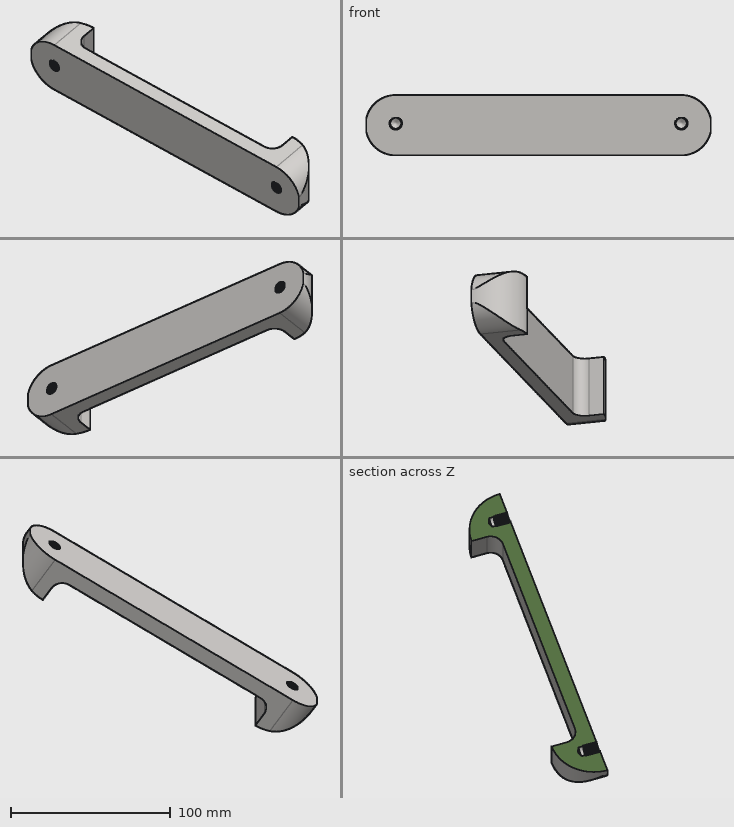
import cadquery as cq
import math

LENGTH = 216.0
HEIGHT = 38.0
FOOT_DEPTH = 28.0
BAR_THICKNESS = 10.0
INNER_FILLET = 8.0

END_RADIUS = HEIGHT / 2
END_CENTRE_X = 89.5
FOOT_INNER_X = LENGTH / 2 - FOOT_DEPTH

HOLE_DIAMETER = 6.83
HOLE_DEPTH = 12.0
HOLE_OFFSET_Z = 1.2
DRILL_POINT_ANGLE = 118.0

THREAD_MAJOR_DIAMETER = 8.0
THREAD_PITCH = 1.25
THREAD_ROOT_FLAT = THREAD_PITCH / 8
THREAD_ANGLE = 60.0
THREAD_DEPTH = 10.0
GROOVE_OVERLAP = 0.3


def bow_profile():
    """Plan shape of the handle, extruded over its height and centred on Z."""
    half_length = LENGTH / 2
    arc_offset = FOOT_DEPTH * math.sqrt(0.5)
    return (
        cq.Workplane("XY")
        .moveTo(-half_length, 0)
        .lineTo(half_length, 0)
        .threePointArc((FOOT_INNER_X + arc_offset, arc_offset), (FOOT_INNER_X, FOOT_DEPTH))
        .lineTo(FOOT_INNER_X, BAR_THICKNESS + INNER_FILLET)
        .radiusArc((FOOT_INNER_X - INNER_FILLET, BAR_THICKNESS), INNER_FILLET)
        .lineTo(-FOOT_INNER_X + INNER_FILLET, BAR_THICKNESS)
        .radiusArc((-FOOT_INNER_X, BAR_THICKNESS + INNER_FILLET), INNER_FILLET)
        .lineTo(-FOOT_INNER_X, FOOT_DEPTH)
        .threePointArc((-FOOT_INNER_X - arc_offset, arc_offset), (-half_length, 0))
        .close()
        .extrude(HEIGHT / 2, both=True)
    )


def rounded_outline():
    """Full-round slot that trims the ends of the handle in the XZ plane."""
    slot_length = 2 * (END_CENTRE_X + END_RADIUS)
    return cq.Workplane("XZ").slot2D(slot_length, HEIGHT).extrude(-FOOT_DEPTH)


def drilled_hole():
    """Cutter on the Z axis: a cylinder ending in a conical drill point."""
    radius = HOLE_DIAMETER / 2
    point_depth = radius / math.tan(math.radians(DRILL_POINT_ANGLE / 2))
    return (
        cq.Workplane("XZ")
        .lineTo(radius, 0)
        .lineTo(radius, HOLE_DEPTH)
        .lineTo(0, HOLE_DEPTH + point_depth)
        .close()
        .revolve(360, (0, 0), (0, 1))
    )


def thread_groove():
    """Cutter on the Z axis: a right-hand V groove that starts one turn before the mouth."""
    inner_radius = HOLE_DIAMETER / 2 - GROOVE_OVERLAP
    outer_radius = THREAD_MAJOR_DIAMETER / 2
    root_half_width = THREAD_ROOT_FLAT / 2
    flank_rise = (outer_radius - inner_radius) * math.tan(math.radians(THREAD_ANGLE / 2))
    mouth_half_width = root_half_width + flank_rise
    helix = cq.Wire.makeHelix(THREAD_PITCH, THREAD_DEPTH + THREAD_PITCH, inner_radius)
    return (
        cq.Workplane("XZ")
        .moveTo(inner_radius, -mouth_half_width)
        .lineTo(outer_radius, -root_half_width)
        .lineTo(outer_radius, root_half_width)
        .lineTo(inner_radius, mouth_half_width)
        .close()
        .sweep(cq.Workplane(helix), isFrenet=True)
        .translate((0, 0, -THREAD_PITCH))
    )


def into_front_face(cutter, centre_x):
    """Turn a cutter from the Z axis to +Y and move it to a hole centre."""
    return cutter.rotate((0, 0, 0), (1, 0, 0), -90).translate((centre_x, 0, HOLE_OFFSET_Z))


result = bow_profile().intersect(rounded_outline())
for hole_x in (-END_CENTRE_X, END_CENTRE_X):
    result = result.cut(into_front_face(thread_groove(), hole_x))
    result = result.cut(into_front_face(drilled_hole(), hole_x))